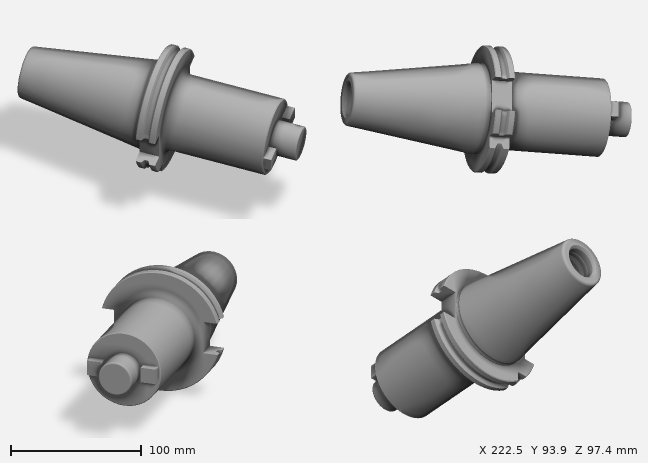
import cadquery as cq
import math

TAPER_LENGTH = 101.0
GAUGE_RADIUS = 70.0 / 2
TAPER_SLOPE = 7 / 48
TAPER_END_RADIUS = GAUGE_RADIUS - TAPER_SLOPE * TAPER_LENGTH
TAPER_END_FILLET = 2.2
RELIEF_DEPTH = 0.5
RELIEF_FLANK = 1.1
RELIEF_FLOOR = 1.1

FLANGE_START = 104.8
FLANGE_WIDTH = 15.8
FLANGE_END = FLANGE_START + FLANGE_WIDTH
FLANGE_RADIUS = 48.7
FLANGE_CHAMFER = 0.7
GROOVE_CENTRE = FLANGE_START + FLANGE_WIDTH / 2
GROOVE_DEPTH = 3.1
GROOVE_TOP_WIDTH = 6.7
GROOVE_WALL_ANGLE = 30
GROOVE_FILLET = 1.0
GROOVE_FLOOR_WIDTH = GROOVE_TOP_WIDTH - 2 * GROOVE_DEPTH * math.tan(math.radians(GROOVE_WALL_ANGLE))

SLOT_WIDTH = 25.8
SLOT_FLOOR_FRONT = 37.0
SLOT_FLOOR_BACK = 35.2
NOTCH_OFFSET = 29.5
NOTCH_FILLET = 1.5

TOTAL_LENGTH = 222.5
SPIGOT_LENGTH = 21.0
SHOULDER = TOTAL_LENGTH - SPIGOT_LENGTH
ARBOR_RADIUS = 30.0
ARBOR_FILLET = 5.0
ARBOR_CHAMFER = 0.7
SPIGOT_RADIUS = 27.0 / 2
SPIGOT_FILLET = 1.3

KEY_WIDTH = 12.0
KEY_HEIGHT = 6.2
KEY_INNER = 15.5
KEY_OUTER = 27.8

MOUTH_RADIUS = 14.2
MOUTH_CHAMFER = 0.7
PILOT_START = 2.2
PILOT_RADIUS = 25.0 / 2
PILOT_END = 7.3
CLEARANCE_RADIUS = 24.0 / 2
CLEARANCE_START = 8.2
CLEARANCE_END = 11.4
THREAD_RADIUS = 10.5
THREAD_START = 14.0
THREAD_END = 44.5
DRILL_POINT_ANGLE = 59


def revolve_about_x(profile):
    return profile.close().revolve(360, (0, 0, 0), (1, 0, 0))


def body():
    """Taper, flange blank, arbor and spigot turned about X."""
    floor_radius = GAUGE_RADIUS - RELIEF_DEPTH
    floor_start = TAPER_LENGTH + RELIEF_FLANK
    floor_end = floor_start + RELIEF_FLOOR
    profile = (
        cq.Workplane("XY")
        .lineTo(0, TAPER_END_RADIUS)
        .lineTo(TAPER_LENGTH, GAUGE_RADIUS)
        .lineTo(floor_start, floor_radius)
        .lineTo(floor_end, floor_radius)
        .lineTo(floor_end + RELIEF_FLANK, GAUGE_RADIUS)
        .lineTo(FLANGE_START, GAUGE_RADIUS)
        .lineTo(FLANGE_START, FLANGE_RADIUS)
        .lineTo(FLANGE_END, FLANGE_RADIUS)
        .lineTo(FLANGE_END, ARBOR_RADIUS)
        .lineTo(SHOULDER, ARBOR_RADIUS)
        .lineTo(SHOULDER, SPIGOT_RADIUS)
        .lineTo(TOTAL_LENGTH, SPIGOT_RADIUS)
        .lineTo(TOTAL_LENGTH, 0)
    )
    return revolve_about_x(profile)


def circle_at(x, radius):
    """Selector for the circular edge of the given radius at position x."""
    tolerance = 0.02

    def edges_within(reach):
        return cq.selectors.BoxSelector(
            (x - tolerance, -reach, -reach), (x + tolerance, reach, reach), boundingbox=True
        )

    return edges_within(radius + tolerance) - edges_within(radius - tolerance)


def finish_edges(part):
    part = part.edges(circle_at(0, TAPER_END_RADIUS)).fillet(TAPER_END_FILLET)
    part = part.edges(circle_at(FLANGE_END, ARBOR_RADIUS)).fillet(ARBOR_FILLET)
    for x in (FLANGE_START, FLANGE_END):
        part = part.edges(circle_at(x, FLANGE_RADIUS)).chamfer(FLANGE_CHAMFER)
    part = part.edges(circle_at(SHOULDER, ARBOR_RADIUS)).chamfer(ARBOR_CHAMFER)
    return part.edges(circle_at(TOTAL_LENGTH, SPIGOT_RADIUS)).fillet(SPIGOT_FILLET)


def gripper_groove():
    """V groove with a flat, round-cornered floor around the flange."""
    profile = (
        cq.Workplane("XY")
        .moveTo(GROOVE_CENTRE - GROOVE_TOP_WIDTH / 2, FLANGE_RADIUS)
        .lineTo(GROOVE_CENTRE - GROOVE_FLOOR_WIDTH / 2, FLANGE_RADIUS - GROOVE_DEPTH)
        .lineTo(GROOVE_CENTRE + GROOVE_FLOOR_WIDTH / 2, FLANGE_RADIUS - GROOVE_DEPTH)
        .lineTo(GROOVE_CENTRE + GROOVE_TOP_WIDTH / 2, FLANGE_RADIUS)
    )
    groove = revolve_about_x(profile)
    for x in (GROOVE_CENTRE - GROOVE_FLOOR_WIDTH / 2, GROOVE_CENTRE + GROOVE_FLOOR_WIDTH / 2):
        groove = groove.edges(circle_at(x, FLANGE_RADIUS - GROOVE_DEPTH)).fillet(GROOVE_FILLET)
    return groove


def flange_cutter(y_start, y_end, z_start, z_end):
    """Box spanning the flange width."""
    return cq.Workplane("XY").box(
        FLANGE_WIDTH, y_end - y_start, z_end - z_start, centered=False
    ).translate((FLANGE_START, y_start, z_start))


def drive_slots():
    half = SLOT_WIDTH / 2
    front = flange_cutter(-FLANGE_RADIUS, -SLOT_FLOOR_FRONT, -half, half)
    back = flange_cutter(SLOT_FLOOR_BACK, FLANGE_RADIUS, -half, half)
    return front.union(back)


def orientation_notch():
    notch = flange_cutter(-FLANGE_RADIUS, -NOTCH_OFFSET, -FLANGE_RADIUS, -NOTCH_OFFSET)
    return notch.edges("|X and >Y and >Z").fillet(NOTCH_FILLET)


def drive_keys():
    key = cq.Workplane("XY").box(
        KEY_HEIGHT, KEY_OUTER - KEY_INNER, KEY_WIDTH, centered=(False, False, True)
    ).translate((SHOULDER, KEY_INNER, 0))
    return key.union(key.mirror("XZ"))


def drawbar_hole():
    """Chamfered pilot bore, recess, thread bore and drill point."""
    point = THREAD_RADIUS / math.tan(math.radians(DRILL_POINT_ANGLE))
    profile = (
        cq.Workplane("XY")
        .lineTo(0, MOUTH_RADIUS)
        .lineTo(MOUTH_CHAMFER, MOUTH_RADIUS - MOUTH_CHAMFER)
        .lineTo(PILOT_START, PILOT_RADIUS)
        .lineTo(PILOT_END, PILOT_RADIUS)
        .lineTo(CLEARANCE_START, CLEARANCE_RADIUS)
        .lineTo(CLEARANCE_END, CLEARANCE_RADIUS)
        .lineTo(THREAD_START, THREAD_RADIUS)
        .lineTo(THREAD_END, THREAD_RADIUS)
        .lineTo(THREAD_END + point, 0)
    )
    return revolve_about_x(profile)


result = (
    finish_edges(body())
    .cut(gripper_groove())
    .cut(drive_slots())
    .cut(orientation_notch())
    .cut(drawbar_hole())
    .union(drive_keys())
)